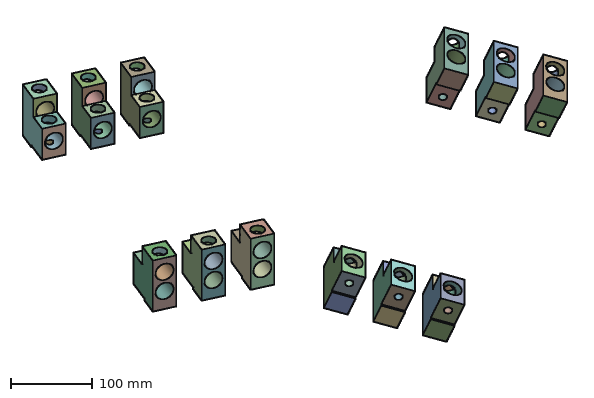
import cadquery as cq

overall_length = 427.0
overall_depth = 162.0
rows = 3

block_length = 63.5
block_width = 31.5
block_height = 75.5
tower_length = 35.0
step_height = 48.5
foot_length = 28.5
foot_height = 2.5

wire_diameter = 24.0
upper_wire_z = 55.0
lower_wire_z = 27.0
screw_diameter = 18.5
mount_diameter = 10.2
tower_screw_x = block_length / 4
step_screw_x = block_length * 3 / 4

row_pitch = (overall_depth - block_width) / (rows - 1)


def vertical_hole(diameter, x, bottom, top):
    return cq.Workplane("XY", origin=(x, 0, bottom)).circle(diameter / 2).extrude(top - bottom)


def wire_hole(z, length):
    return cq.Workplane("YZ", origin=(0, 0, z)).circle(wire_diameter / 2).extrude(length)


def terminal_block():
    """Block with its outer face at X = 0, its base at Z = 0 and its width centred on Y = 0."""
    body = (
        cq.Workplane("XZ")
        .moveTo(0, 0)
        .lineTo(foot_length, 0)
        .lineTo(foot_length, foot_height)
        .lineTo(block_length, foot_height)
        .lineTo(block_length, step_height)
        .lineTo(tower_length, step_height)
        .lineTo(tower_length, block_height)
        .lineTo(0, block_height)
        .close()
        .extrude(block_width / 2, both=True)
    )
    body = body.cut(wire_hole(upper_wire_z, tower_length))
    body = body.cut(wire_hole(lower_wire_z, block_length))
    body = body.cut(vertical_hole(screw_diameter, tower_screw_x, upper_wire_z, block_height))
    body = body.cut(vertical_hole(screw_diameter, step_screw_x, lower_wire_z, step_height))
    return body.cut(vertical_hole(mount_diameter, step_screw_x, 0, lower_wire_z))


left_block = terminal_block().translate((-overall_length / 2, 0, 0))
right_block = left_block.mirror("YZ")

blocks = []
for row in range(rows):
    row_y = (row - (rows - 1) / 2) * row_pitch
    for block in (left_block, right_block):
        blocks.append(block.translate((0, row_y, 0)).val())

result = cq.Compound.makeCompound(blocks)